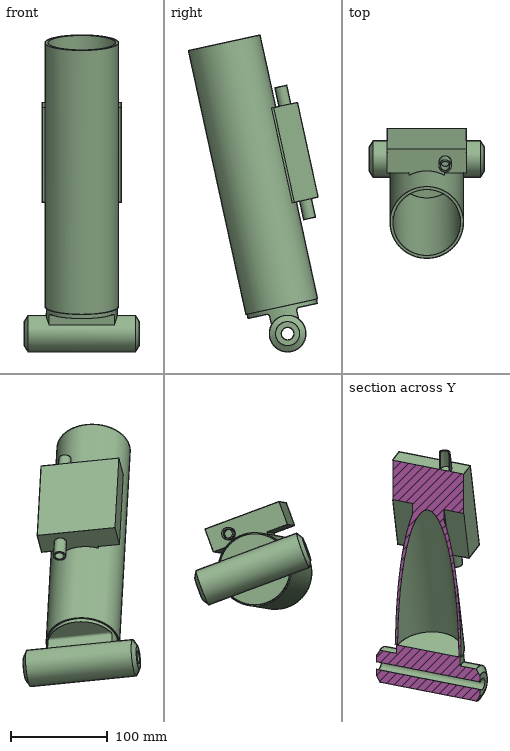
import cadquery as cq

tilt_angle = 12.3

pin_diameter = 38.0
pin_length = 119.3
pin_hole_diameter = 12.8
pin_chamfer_axial = 4.0
pin_chamfer_radial = 6.5

barrel_diameter = 76.2
bore_diameter = 70.0
barrel_bottom = 28.5
barrel_top = 308.5

cap_diameter = 73.5
cap_thickness = 4.5
cap_bottom = barrel_bottom - cap_thickness
lug_thickness = 29.0
lug_fillet = 2.5

block_width = 82.0
block_length = 100.5
block_center_height = 181.7
block_front = 35.8
block_back = 61.0
pad_width = 36.8
pad_front = 33.5
block_bottom = block_center_height - block_length / 2

port_diameter = 12.8
port_hole_diameter = 9.5
port_length = 19.7
port_x = 19.0
port_y = 47.5


def upright_cylinder(diameter, bottom, top, x=0, y=0):
    """Cylinder parallel to the barrel axis."""
    return cq.Workplane("XY", origin=(x, y, bottom)).circle(diameter / 2).extrude(top - bottom)


def make_pin():
    """Solid pin with a conical chamfer at each end, revolved about X."""
    radius = pin_diameter / 2
    end = pin_length / 2
    return (
        cq.Workplane("XY")
        .moveTo(-end, 0)
        .lineTo(-end, radius - pin_chamfer_radial)
        .lineTo(-end + pin_chamfer_axial, radius)
        .lineTo(end - pin_chamfer_axial, radius)
        .lineTo(end, radius - pin_chamfer_radial)
        .lineTo(end, 0)
        .close()
        .revolve(360, (0, 0, 0), (1, 0, 0))
    )


def make_cap_and_lug():
    """Cap with a flat-sided, filleted lug, trimmed to the round outline of the cap."""
    half_cap = cap_diameter / 2
    half_lug = lug_thickness / 2
    profile = (
        cq.Workplane("YZ", origin=(-half_cap, 0, 0))
        .moveTo(-half_lug, 0)
        .lineTo(-half_lug, cap_bottom - lug_fillet)
        .tangentArcPoint((-lug_fillet, lug_fillet))
        .lineTo(-half_cap, cap_bottom)
        .lineTo(-half_cap, barrel_bottom)
        .lineTo(half_cap, barrel_bottom)
        .lineTo(half_cap, cap_bottom)
        .lineTo(half_lug + lug_fillet, cap_bottom)
        .tangentArcPoint((-lug_fillet, -lug_fillet))
        .lineTo(half_lug, 0)
        .close()
    )
    return profile.extrude(cap_diameter).intersect(upright_cylinder(cap_diameter, 0, barrel_bottom))


def back_box(width, front, back):
    """Box as long as the block, spanning front to back behind the barrel axis."""
    return cq.Workplane("XY", origin=(0, front, block_bottom)).box(
        width, back - front, block_length, centered=(True, False, False)
    )


def port_cylinder(diameter, bottom):
    return upright_cylinder(diameter, bottom, bottom + port_length, port_x, port_y)


barrel = upright_cylinder(barrel_diameter, barrel_bottom, barrel_top)
bore = upright_cylinder(bore_diameter, barrel_bottom, barrel_top)
block = back_box(block_width, block_front, block_back)
pad = back_box(pad_width, pad_front, block_front)
body = barrel.union(block).union(pad).cut(bore).union(make_cap_and_lug())

for port_bottom in (block_bottom - port_length, block_bottom + block_length):
    port = port_cylinder(port_diameter, port_bottom)
    port_hole = port_cylinder(port_hole_diameter, port_bottom)
    body = body.union(port.cut(port_hole))

pin_hole = cq.Workplane("YZ").circle(pin_hole_diameter / 2).extrude(pin_length / 2, both=True)
tilted_body = body.rotate((0, 0, 0), (1, 0, 0), tilt_angle)
result = tilted_body.union(make_pin()).cut(pin_hole)